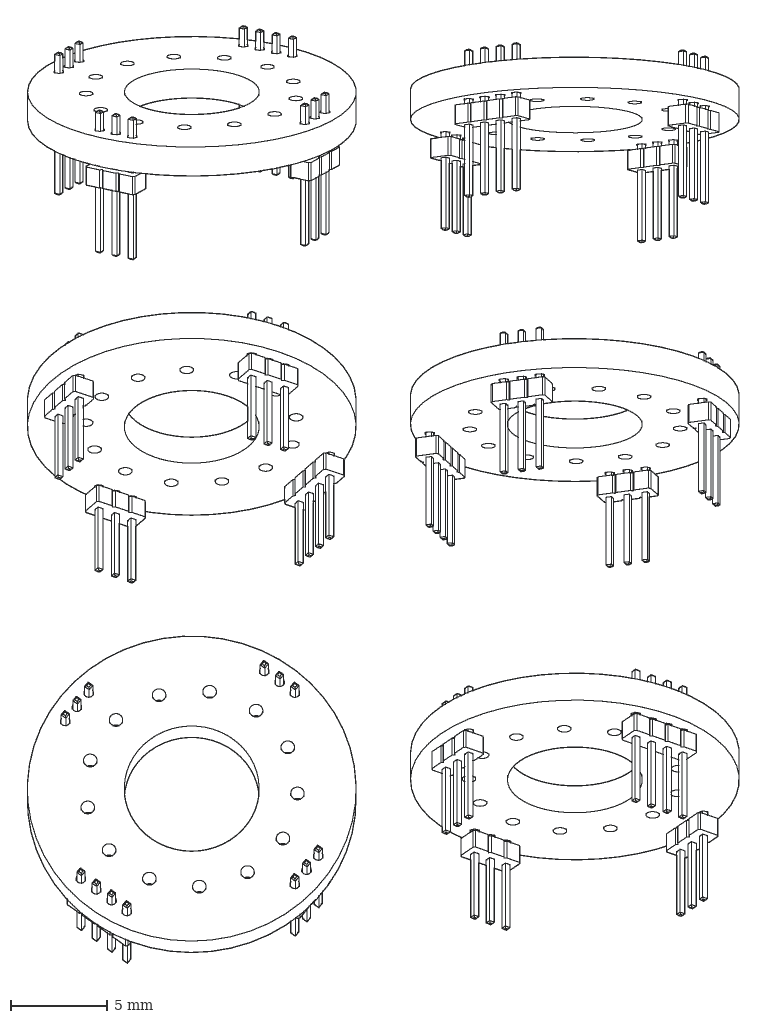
import cadquery as cq
import math

board_diameter = 17.07
board_thickness = 1.6
bore_diameter = 7.0

ring_hole_count = 13
ring_hole_diameter = 0.7
ring_radius = 5.5
ring_start_angle = -90.0

header_span = 15.0
pitches_across_span = 15
header_distance = header_span / 2
pin_pitch = header_span / pitches_across_span
pin_width = 0.3
pin_tip_chamfer = 0.077
pin_hole_diameter = 0.5
pin_length = 7.8
pin_above_board = 1.04
housing_gap = 0.34
housing_depth = 1.28
housing_height = pin_pitch
housing_corner_chamfer = 0.1

headers = [(0, 3), (90, 4), (180, 3), (270, 3)]

pin_top = board_thickness + pin_above_board
housing_bottom = -housing_gap - housing_height


def pin_offsets(pin_count):
    """Positions of the pins along a header, centred on zero."""
    return [(i - (pin_count - 1) / 2) * pin_pitch for i in range(pin_count)]


def header_points(angle, pin_count):
    """Pin positions on the board for the header in the given direction."""
    direction = math.radians(angle)
    return [
        (
            header_distance * math.cos(direction) - offset * math.sin(direction),
            header_distance * math.sin(direction) + offset * math.cos(direction),
        )
        for offset in pin_offsets(pin_count)
    ]


def make_board():
    """Round board with its bore, the ring of holes and the pin holes."""
    board = (
        cq.Workplane("XY")
        .circle(board_diameter / 2)
        .circle(bore_diameter / 2)
        .extrude(board_thickness)
    )
    ring_holes = (
        cq.Workplane("XY")
        .polarArray(ring_radius, ring_start_angle, 360, ring_hole_count)
        .circle(ring_hole_diameter / 2)
        .extrude(board_thickness)
    )
    board = board.cut(ring_holes)
    for angle, pin_count in headers:
        pin_holes = (
            cq.Workplane("XY")
            .pushPoints(header_points(angle, pin_count))
            .circle(pin_hole_diameter / 2)
            .extrude(board_thickness)
        )
        board = board.cut(pin_holes)
    return board


def make_pin():
    """Square pin on the Z axis, chamfered around both tips."""
    return (
        cq.Workplane("XY", origin=(0, 0, pin_top - pin_length))
        .rect(pin_width, pin_width)
        .extrude(pin_length)
        .faces("<Z or >Z")
        .chamfer(pin_tip_chamfer)
    )


def make_housing_segment():
    """Housing block around one pin; its cut corners form V notches between neighbours."""
    return (
        cq.Workplane("XY", origin=(0, 0, housing_bottom))
        .rect(housing_depth, pin_pitch)
        .extrude(housing_height)
        .edges("|Z")
        .chamfer(housing_corner_chamfer)
    )


def make_header(angle, pin_count):
    """One header: a row of pins and housing segments, turned into its place."""
    pin_with_segment = make_housing_segment().union(make_pin())
    header = cq.Workplane("XY")
    for offset in pin_offsets(pin_count):
        header = header.union(pin_with_segment.translate((header_distance, offset, 0)))
    return header.rotate((0, 0, 0), (0, 0, 1), angle)


board = make_board()
pin_headers = [make_header(angle, pin_count) for angle, pin_count in headers]

result = cq.Compound.makeCompound(
    [board.solids().val(), *[header.solids().val() for header in pin_headers]]
)